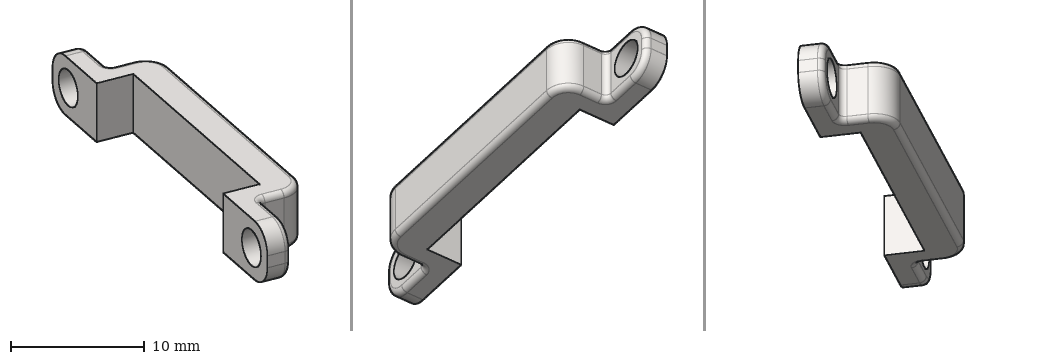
import cadquery as cq

length = 33.7
depth = 6.1
height = 5.0

bridge_length = 23.65
gap_length = 19.8
gap_depth = 3.1
bridge_corner_radius = 2.0
foot_corner_radius = 0.5

foot_thickness = 2.0
foot_end_radius = 2.0
hole_diameter = 3.0
hole_spacing = length - height

rim_radius = 0.5


def make_strap():
    """Hat-shaped profile on XY, extruded over the height."""
    half_length = length / 2
    half_bridge = bridge_length / 2
    half_gap = gap_length / 2
    right_side = [
        (half_gap, gap_depth),
        (half_gap, 0),
        (half_length, 0),
        (half_length, foot_thickness),
        (half_bridge, foot_thickness),
        (half_bridge, depth),
    ]
    left_side = [(-x, y) for x, y in reversed(right_side)]
    return (
        cq.Workplane("XY")
        .workplane(offset=-height / 2)
        .polyline(right_side + left_side)
        .close()
        .extrude(height)
    )


def round_bends(strap):
    """Round the outer and inner bends where the bridge meets the feet."""
    for y, radius in ((depth, bridge_corner_radius), (foot_thickness, foot_corner_radius)):
        for x in (-bridge_length / 2, bridge_length / 2):
            bend = cq.selectors.NearestToPointSelector((x, y, 0))
            strap = strap.edges("|Z").edges(bend).fillet(radius)
    return strap


def round_rim(strap):
    """Round the tangent chain of edges around the outward surface."""
    outer_face = strap.faces(">Y")
    return outer_face.edges("|X").fillet(rim_radius)


def drill_holes(strap):
    """Cut one through hole along Y in each foot."""
    holes = (
        cq.Workplane("XZ")
        .pushPoints([(-hole_spacing / 2, 0), (hole_spacing / 2, 0)])
        .circle(hole_diameter / 2)
        .extrude(-depth)
    )
    return strap.cut(holes)


strap = round_bends(make_strap())
strap = strap.edges("|Y").edges("<X or >X").fillet(foot_end_radius)
result = drill_holes(round_rim(strap))